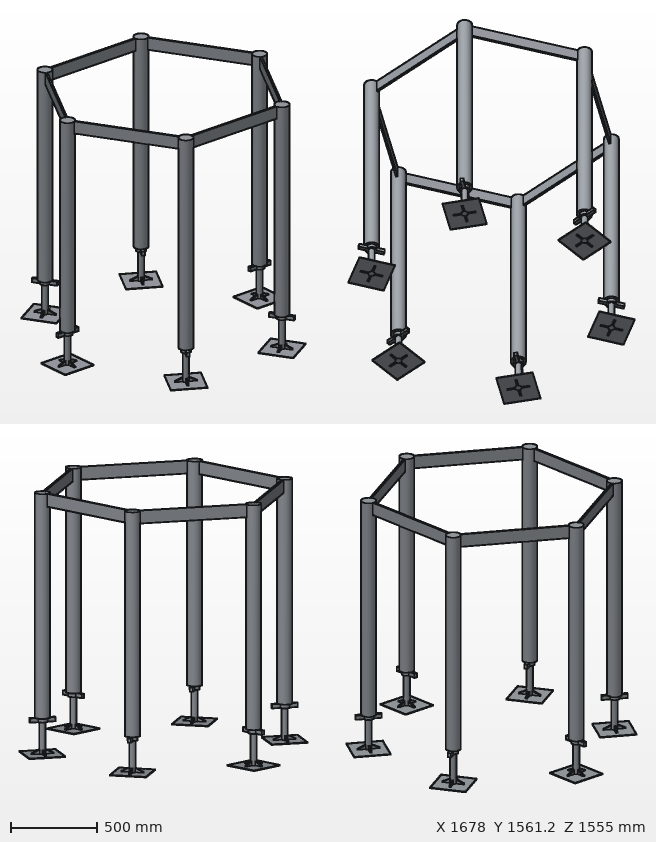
import cadquery as cq

LEG_COUNT = 6
OVERALL_LENGTH = 1678.0
OVERALL_HEIGHT = 1555.0

PLATE_SIDE = 216.0
PLATE_THICKNESS = 5.0

ROD_DIAMETER = 39.0

GUSSET_SPAN = 133.0
GUSSET_THICKNESS = 10.0
GUSSET_HEIGHT = 25.0
GUSSET_TIP_HEIGHT = 3.0

NUT_DIAMETER = 60.0
NUT_BOTTOM = 195.0
NUT_HEIGHT = 25.0
HANDLE_LENGTH = 155.0
HANDLE_WIDTH = 20.0

TUBE_DIAMETER = 89.0

BEAM_HEIGHT = 77.0
BEAM_THICKNESS = 12.0

LEG_CIRCLE_RADIUS = (OVERALL_LENGTH - PLATE_SIDE) / 2
LEG_ANGLE = 360 / LEG_COUNT
TUBE_BOTTOM = NUT_BOTTOM + NUT_HEIGHT
BEAM_DIRECTION = 90 + LEG_ANGLE / 2

FROM_BASE = (True, True, False)


def turned(body, angle):
    return body.rotate((0, 0, 0), (0, 0, 1), angle)


def upright_cylinder(diameter, bottom, top):
    return cq.Workplane("XY").workplane(offset=bottom).circle(diameter / 2).extrude(top - bottom)


def gusset_pair():
    """Two sloped ribs on opposite sides of the rod, in one plane through its axis."""
    half_span = GUSSET_SPAN / 2
    rod_radius = ROD_DIAMETER / 2
    shoulder = PLATE_THICKNESS + GUSSET_HEIGHT
    tip = PLATE_THICKNESS + GUSSET_TIP_HEIGHT
    outline = [
        (-half_span, 0),
        (half_span, 0),
        (half_span, tip),
        (rod_radius, shoulder),
        (-rod_radius, shoulder),
        (-half_span, tip),
    ]
    return cq.Workplane("XZ").polyline(outline).close().extrude(GUSSET_THICKNESS / 2, both=True)


def wing_nut():
    """Round nut with a flat bar handle that reaches out on both sides."""
    nut = upright_cylinder(NUT_DIAMETER, NUT_BOTTOM, TUBE_BOTTOM)
    handle = cq.Workplane("XY").box(HANDLE_LENGTH, HANDLE_WIDTH, NUT_HEIGHT, centered=FROM_BASE)
    return nut.union(handle.translate((0, 0, NUT_BOTTOM)))


def leg():
    """One adjustable leg standing on the Z axis."""
    plate = cq.Workplane("XY").box(PLATE_SIDE, PLATE_SIDE, PLATE_THICKNESS, centered=FROM_BASE)
    rod = upright_cylinder(ROD_DIAMETER, 0, TUBE_BOTTOM)
    tube = upright_cylinder(TUBE_DIAMETER, TUBE_BOTTOM, OVERALL_HEIGHT)
    ribs = gusset_pair()
    cross_ribs = turned(gusset_pair(), 90)
    return plate.union(rod).union(ribs).union(cross_ribs).union(wing_nut()).union(tube)


def beam():
    """Flat bar from the axis of the leg on +X to the next leg axis, flush with the leg tops."""
    bar = cq.Workplane("XY").box(
        LEG_CIRCLE_RADIUS,
        BEAM_THICKNESS,
        BEAM_HEIGHT,
        centered=(False, True, False),
    )
    return turned(bar, BEAM_DIRECTION).translate((LEG_CIRCLE_RADIUS, 0, OVERALL_HEIGHT - BEAM_HEIGHT))


segment = leg().translate((LEG_CIRCLE_RADIUS, 0, 0)).union(beam())
result = segment
for index in range(1, LEG_COUNT):
    result = result.union(turned(segment, index * LEG_ANGLE))